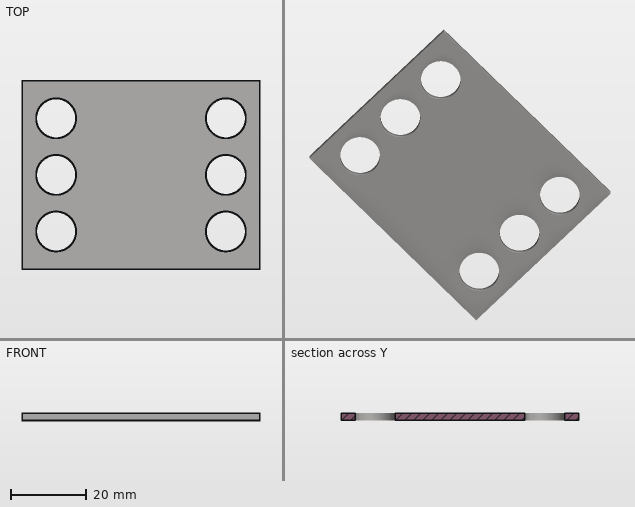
import cadquery as cq

length = 63
width = 50.0
thickness = 2.0

hole_diameter = 10.5
column_spacing = 45.0
row_spacing = 15.0
columns = 2
rows = 3

plate = cq.Workplane("XY").box(length, width, thickness)

result = (
    plate.faces(">Z")
    .workplane()
    .rarray(column_spacing, row_spacing, columns, rows)
    .hole(hole_diameter)
)